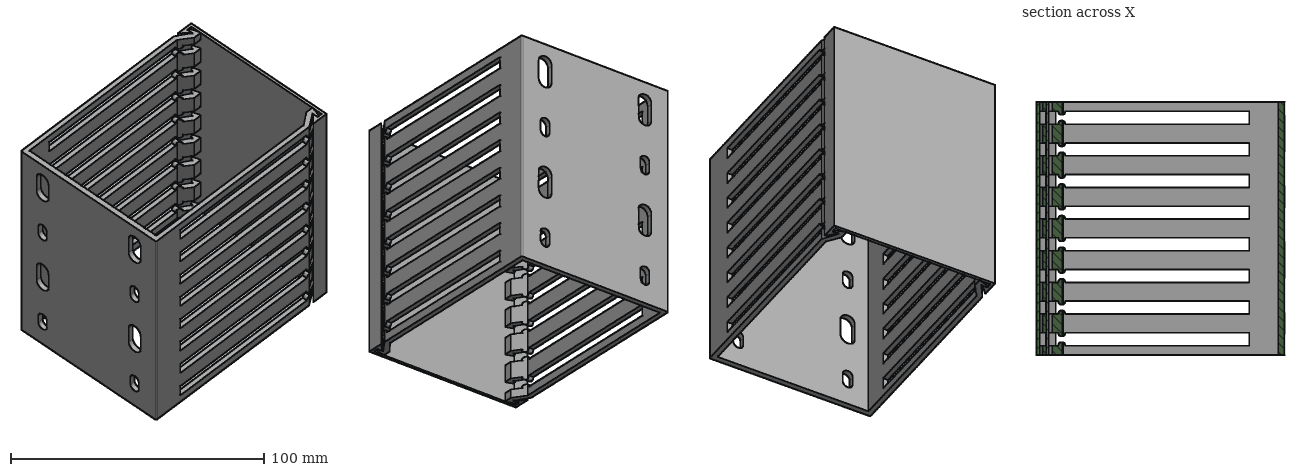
import cadquery as cq

width = 73.5
depth = 98.0
length = 100.0
half_width = width / 2
back_y = depth / 2
front_y = -depth / 2

cover_thickness = 1.4
lip_thickness = 1.4
lip_depth = 7.7
hook_depth = 3.7
hook_reach = 3.7
cover_inner_y = back_y - cover_thickness
lip_inner_x = half_width - lip_thickness
ledge_y = back_y - hook_depth
hook_tip_x = half_width - hook_reach

wall = 2.3
base_thickness = 2.5
corner_radius = 0.5
outer_bend_y = 39.0
inner_bend_y = 38.4
head_inner_x = half_width - 6.4
head_inner_y = 44.0
head_flat = 0.8
barb_height = 0.8
neck_x = half_width - 4.2

slot_count = 8
slot_pitch = length / slot_count
slot_width = 5.0
slot_end_y = -35.0
nub_radius = 1.4
nub_y = 39.0

mount_spacing_x = 50.0
mount_pitch = length / 4
small_mount = (8.2, 4.5)
large_mount = (14.0, 6.5)


def mirrored(right_points):
    """Complete a right-hand outline with its mirror image about the middle plane X = 0."""
    return right_points + [(-x, y) for x, y in reversed(right_points)]


def make_cover():
    right_half = [
        (half_width, back_y),
        (half_width, back_y - lip_depth),
        (hook_tip_x, ledge_y),
        (lip_inner_x, ledge_y),
        (lip_inner_x, cover_inner_y),
    ]
    return cq.Workplane("XY").polyline(mirrored(right_half)).close().extrude(length)


def make_channel():
    """Trough section with its snap heads, before any slots are cut."""
    right_half = [
        (half_width, front_y),
        (half_width, outer_bend_y),
        (neck_x, ledge_y),
        (lip_inner_x, ledge_y),
        (lip_inner_x, ledge_y + barb_height),
        (head_inner_x + head_flat, cover_inner_y),
        (head_inner_x, cover_inner_y),
        (head_inner_x, head_inner_y),
        (half_width - wall, inner_bend_y),
        (half_width - wall, front_y + base_thickness),
    ]
    channel = cq.Workplane("XY").polyline(mirrored(right_half)).close().extrude(length)
    return channel.edges("|Z and <Y").fillet(corner_radius)


def make_wire_slots():
    """Cutters through both walls, open towards the cover and necked by the nubs."""
    slot_length = back_y - slot_end_y
    slot_centers = [((back_y + slot_end_y) / 2, (i + 0.5) * slot_pitch) for i in range(slot_count)]
    nub_centers = [
        (nub_y, z + side * slot_width / 2)
        for _, z in slot_centers
        for side in (-1, 1)
    ]
    slots = (
        cq.Workplane("YZ").pushPoints(slot_centers).rect(slot_length, slot_width)
        .extrude(half_width, both=True)
    )
    nubs = cq.Workplane("YZ").pushPoints(nub_centers).circle(nub_radius).extrude(half_width, both=True)
    return slots.cut(nubs)


def make_mount_slots():
    """Cutters through the base: two columns of alternating small and large slots."""
    cutters = cq.Workplane("XZ", origin=(0, front_y + base_thickness, 0))
    for row, (slot_length, slot_width_x) in enumerate([small_mount, large_mount] * 2):
        z = (row + 0.5) * mount_pitch
        centers = [(-mount_spacing_x / 2, z), (mount_spacing_x / 2, z)]
        cutters = cutters.pushPoints(centers).slot2D(slot_length, slot_width_x, 90).extrude(base_thickness)
    return cutters


def make_trough():
    return make_channel().cut(make_wire_slots()).cut(make_mount_slots())


cover = make_cover()
trough = make_trough()

result = cq.Compound.makeCompound([cover.val(), trough.val()])